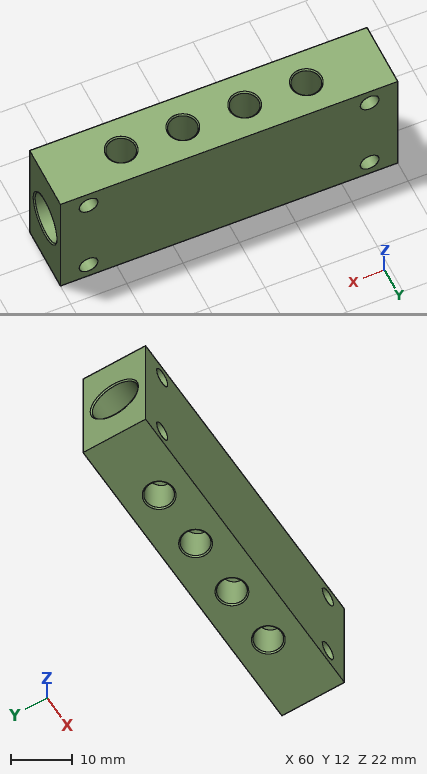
import cadquery as cq

length = 60.0
width = 12.0
height = 22.0

bore_diameter = 8.75
bore_chamfer = 0.25

port_diameter = 5.0
port_chamfer = 0.25
port_count = 4
port_pitch = 11.0

mount_diameter = 3.3
mount_spacing_x = 50.0
mount_spacing_z = 16.0


def countersunk_pin(diameter, span, chamfer):
    """Cutter along Z, centred on the origin, flaring by the chamfer at both ends."""
    radius = diameter / 2
    mouth_radius = radius + chamfer
    half = span / 2
    profile = [
        (0, -half),
        (mouth_radius, -half),
        (radius, -half + chamfer),
        (radius, half - chamfer),
        (mouth_radius, half),
        (0, half),
    ]
    return cq.Workplane("XZ").polyline(profile).close().revolve(360, (0, 0), (0, 1))


block = cq.Workplane("XY").box(length, width, height)

bore = countersunk_pin(bore_diameter, length, bore_chamfer).rotate((0, 0, 0), (0, 1, 0), 90)
block = block.cut(bore)

port = countersunk_pin(port_diameter, height, port_chamfer)
for index in range(port_count):
    port_x = (index - (port_count - 1) / 2) * port_pitch
    block = block.cut(port.translate((port_x, 0, 0)))

mounts = (
    cq.Workplane("XZ")
    .rarray(mount_spacing_x, mount_spacing_z, 2, 2)
    .circle(mount_diameter / 2)
    .extrude(width / 2, both=True)
)
result = block.cut(mounts)